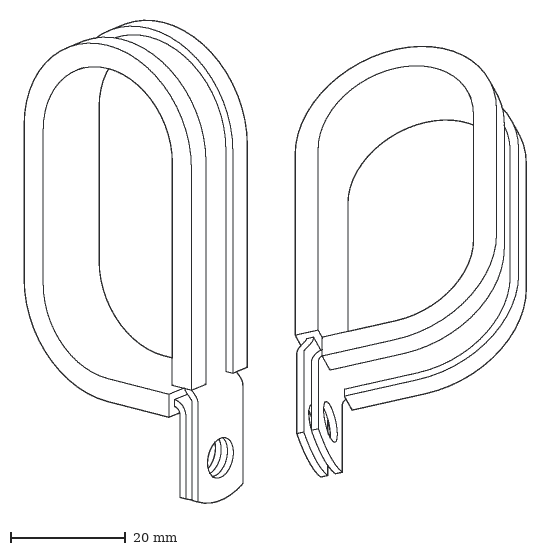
import cadquery as cq
import math

outer_radius = 18.6
cushion_thickness = 4.3
cushion_width = 15.7
arc_spacing = 28.45
vertical_leg_end = -41.0
bottom_leg_end = 13.6

groove_depth = 1.55
groove_width = 7.55
strap_thickness = 1.3
tab_width = 12.6
strap_outer_radius = outer_radius - groove_depth
strap_inner_radius = strap_outer_radius - strap_thickness
strap_embed = 0.8

overall_height = 82.0
tab_bottom = outer_radius - overall_height
right_tab_outer = 18.85
right_tab_inner = right_tab_outer - strap_thickness
joggle_inner_radius = 0.65
joggle_outer_radius = joggle_inner_radius + strap_thickness
left_bend_inner_radius = 1.2
left_bend_outer_radius = left_bend_inner_radius + strap_thickness
hole_diameter = 7.2
hole_height = -55.5
tip_rise = 1.4

lower_center = -arc_spacing
DIAGONAL = 0.5 ** 0.5


def loop_band(outer, inner, width):
    """Open loop between two concentric offsets, centred on Y = 0."""
    return (
        cq.Workplane("XZ")
        .moveTo(outer, vertical_leg_end)
        .lineTo(outer, 0)
        .threePointArc((0, outer), (-outer, 0))
        .lineTo(-outer, lower_center)
        .threePointArc((-outer * DIAGONAL, lower_center - outer * DIAGONAL), (0, lower_center - outer))
        .lineTo(bottom_leg_end, lower_center - outer)
        .lineTo(bottom_leg_end, lower_center - inner)
        .lineTo(0, lower_center - inner)
        .threePointArc((-inner * DIAGONAL, lower_center - inner * DIAGONAL), (-inner, lower_center))
        .lineTo(-inner, 0)
        .threePointArc((0, inner), (inner, 0))
        .lineTo(inner, vertical_leg_end)
        .close()
        .extrude(width / 2, both=True)
    )


def right_tab():
    """Tab stepping outwards below the vertical leg through two opposite 45 degree bends."""
    full_bend = 45
    half_bend = full_bend / 2
    bend_radii = joggle_inner_radius + joggle_outer_radius
    offset = right_tab_outer - strap_outer_radius
    straight_drop = offset - bend_radii * (1 - DIAGONAL)
    joggle_end = vertical_leg_end - bend_radii * DIAGONAL - straight_drop
    upper_center = strap_outer_radius + joggle_inner_radius
    lower_bend_center = right_tab_inner - joggle_inner_radius

    def upper_bend(radius, angle):
        turn = math.radians(angle)
        return upper_center - radius * math.cos(turn), vertical_leg_end - radius * math.sin(turn)

    def lower_bend(radius, angle):
        turn = math.radians(angle)
        return lower_bend_center + radius * math.cos(turn), joggle_end + radius * math.sin(turn)

    return (
        cq.Workplane("XZ")
        .moveTo(strap_inner_radius, vertical_leg_end + strap_embed)
        .lineTo(strap_outer_radius, vertical_leg_end + strap_embed)
        .lineTo(strap_outer_radius, vertical_leg_end)
        .threePointArc(upper_bend(joggle_inner_radius, half_bend), upper_bend(joggle_inner_radius, full_bend))
        .lineTo(*lower_bend(joggle_outer_radius, full_bend))
        .threePointArc(lower_bend(joggle_outer_radius, half_bend), (right_tab_outer, joggle_end))
        .lineTo(right_tab_outer, tab_bottom)
        .lineTo(right_tab_inner, tab_bottom)
        .lineTo(right_tab_inner, joggle_end)
        .threePointArc(lower_bend(joggle_inner_radius, half_bend), lower_bend(joggle_inner_radius, full_bend))
        .lineTo(*upper_bend(joggle_outer_radius, full_bend))
        .threePointArc(upper_bend(joggle_outer_radius, half_bend), (strap_inner_radius, vertical_leg_end))
        .close()
        .extrude(tab_width / 2, both=True)
    )


def left_tab():
    """Tab bending downwards from the end of the bottom leg."""
    strap_top = lower_center - strap_inner_radius
    strap_bottom = lower_center - strap_outer_radius
    bend_center = strap_bottom - left_bend_inner_radius
    outer_mid = left_bend_outer_radius * DIAGONAL
    inner_mid = left_bend_inner_radius * DIAGONAL
    tab_outer = bottom_leg_end + left_bend_outer_radius
    tab_inner = bottom_leg_end + left_bend_inner_radius
    return (
        cq.Workplane("XZ")
        .moveTo(bottom_leg_end - strap_embed, strap_top)
        .lineTo(bottom_leg_end, strap_top)
        .threePointArc((bottom_leg_end + outer_mid, bend_center + outer_mid), (tab_outer, bend_center))
        .lineTo(tab_outer, tab_bottom)
        .lineTo(tab_inner, tab_bottom)
        .lineTo(tab_inner, bend_center)
        .threePointArc((bottom_leg_end + inner_mid, bend_center + inner_mid), (bottom_leg_end, strap_bottom))
        .lineTo(bottom_leg_end - strap_embed, strap_bottom)
        .close()
        .extrude(tab_width / 2, both=True)
    )


def tab_outline():
    """Block along X whose rounded bottom edge and hole shape both tabs."""
    half_width = tab_width / 2
    return (
        cq.Workplane("YZ")
        .moveTo(-half_width, 0)
        .lineTo(-half_width, tab_bottom + tip_rise)
        .threePointArc((0, tab_bottom), (half_width, tab_bottom + tip_rise))
        .lineTo(half_width, 0)
        .close()
        .moveTo(0, hole_height)
        .circle(hole_diameter / 2)
        .extrude(right_tab_outer)
    )


cushion = loop_band(outer_radius, outer_radius - cushion_thickness, cushion_width)
groove = loop_band(outer_radius, strap_outer_radius, groove_width)
tabs = right_tab().union(left_tab()).intersect(tab_outline())

result = cushion.cut(groove).union(tabs)